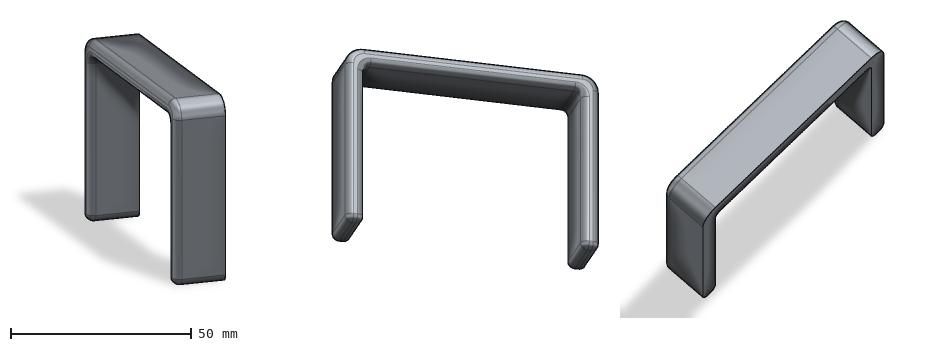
import cadquery as cq

width = 73.0
depth = 15.0
height = 53.0

wall = 5.05
outer_bend_radius = wall
edge_radius = 2.0

inner_width = width - 2 * wall
inner_height = height - wall


def block(size_x, size_z):
    """Full-depth block standing on Z = 0, centred on X."""
    return cq.Workplane("XY").box(size_x, depth, size_z, centered=(True, True, False))


outer = block(width, height).edges("|Y and >Z").fillet(outer_bend_radius)
opening = block(inner_width, inner_height).edges("|Y and >Z").fillet(edge_radius)
bracket = outer.cut(opening)

leg_tip_edges = bracket.edges("|Y and <Z")
front_rim = bracket.faces("<Y").edges()
result = bracket.newObject(leg_tip_edges.vals() + front_rim.vals()).fillet(edge_radius)